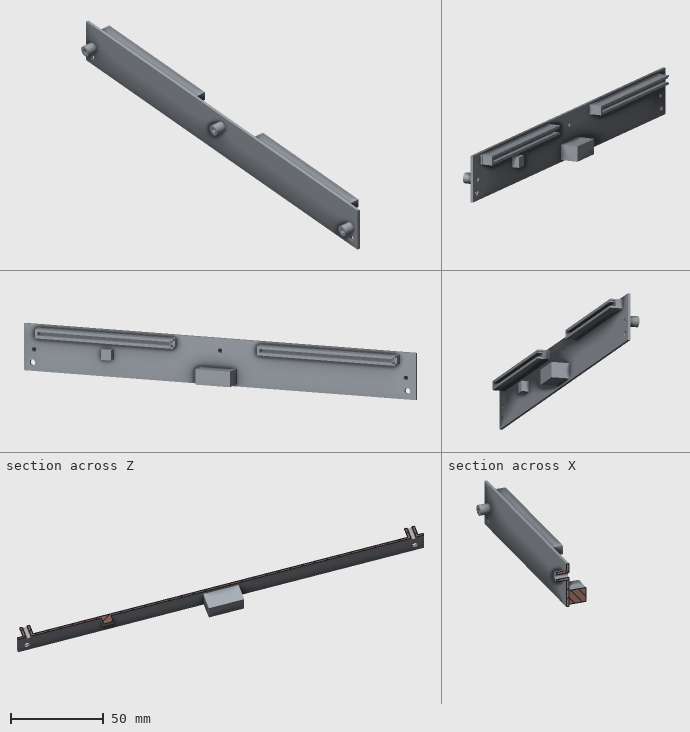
import cadquery as cq

board_length = 230.0
board_height = 25.8
board_thickness = 1.5

standoff_length = 6.0
standoff_diameter = 6.0
standoff_bore = 2.5
outer_standoff_x = 109.0
outer_standoff_z = -1.2
middle_standoff_z = 6.0
standoff_places = [
    (-outer_standoff_x, outer_standoff_z),
    (0.0, middle_standoff_z),
    (outer_standoff_x, outer_standoff_z),
]

mounting_hole_diameter = 3.2
mounting_hole_x = 110.0
mounting_hole_z = -8.3

socket_length = 81.0
socket_height = 5.0
socket_depth = 7.0
socket_x = 65.0
socket_z = 9.0
foot_depth = 1.26
foot_rim = 0.12

slot_depth = 3.0
slot_height = 2.0
slot_end_wall = 1.4
mouth_height = 3.5
mouth_length = 1.4

component_size = 5.8
component_depth = 4.1
component_top = 2.5

block_length = 20.0
block_height = 8.5
block_depth = 10.0
block_z = -7.4


def box_between(x_range, y_range, z_range):
    """Box filling the given (low, high) ranges."""
    lows, highs = zip(x_range, y_range, z_range)
    sizes = [high - low for low, high in zip(lows, highs)]
    return cq.Workplane("XY").box(*sizes, centered=False).translate(lows)


def span(centre, size):
    """The (low, high) range of a size about its centre."""
    return (centre - size / 2, centre + size / 2)


def rod(x, z, diameter, y_range):
    """Cylinder along Y filling the given (low, high) range."""
    front, back = y_range
    disc = cq.Workplane("XZ", origin=(x, front, z)).circle(diameter / 2)
    return disc.extrude(front - back)


def make_socket(side):
    """Slotted socket on its foot; side is -1 for the left and 1 for the right."""
    foot_back = board_thickness + foot_depth
    socket_back = board_thickness + socket_depth
    left, right = span(side * socket_x, socket_length)
    slot_y = (socket_back - slot_depth, socket_back)

    foot_x = span(side * socket_x, socket_length + 2 * foot_rim)
    foot_z = span(socket_z, socket_height + 2 * foot_rim)
    foot = box_between(foot_x, (board_thickness, foot_back), foot_z)
    body = box_between((left, right), (foot_back, socket_back), span(socket_z, socket_height))
    slot = box_between((left, right - slot_end_wall), slot_y, span(socket_z, slot_height))
    mouth = box_between((left, left + mouth_length), slot_y, span(socket_z, mouth_height))
    return foot.union(body).cut(slot).cut(mouth)


def make_board():
    """Board with its standoffs, mounting holes, sockets and small component."""
    board = box_between(span(0, board_length), (0, board_thickness), span(0, board_height))

    for x, z in standoff_places:
        board = board.union(rod(x, z, standoff_diameter, (-standoff_length, 0)))
    for x, z in standoff_places:
        board = board.cut(rod(x, z, standoff_bore, (-standoff_length, board_thickness)))

    for side in (-1, 1):
        hole_x = side * mounting_hole_x
        board = board.cut(rod(hole_x, mounting_hole_z, mounting_hole_diameter, (0, board_thickness)))
        board = board.union(make_socket(side))

    component = box_between(
        span(socket_x, component_size),
        (board_thickness, board_thickness + component_depth),
        (component_top - component_size, component_top),
    )
    return board.union(component)


def make_block():
    """Plain central block standing on the back face."""
    y_range = (board_thickness, board_thickness + block_depth)
    return box_between(span(0, block_length), y_range, span(block_z, block_height))


board = make_board()
block = make_block()

result = cq.Compound.makeCompound([board.val(), block.val()])